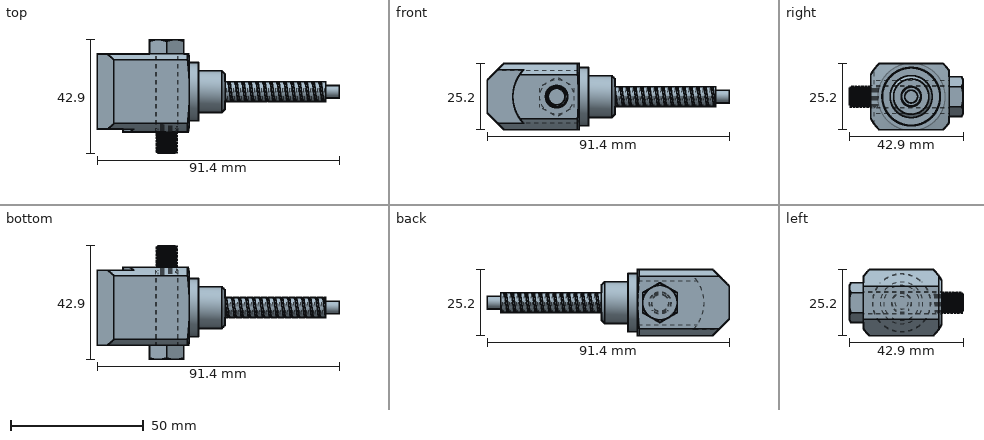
import cadquery as cq
import math


block_length = 34.8
block_height = 25.15
block_back_y = 14.29
recess_face_y = -14.13
pad_face_y = -15.28
turned_diameter = 34.75
nose_chamfer = 6.35
pad_arc_radius = 14.6
pad_arc_left_x = 9.7

cone_start_radius = 12.7
cone_angle = 9.0

flange_diameter = 22.05
flange_end_x = 38.35
flange_edge_break = 0.2
collar_diameter = 15.88
collar_end_x = 48.25
collar_chamfer = 1.27
armor_diameter = 7.58
armor_end_x = 86.25
cable_diameter = 4.83
cable_end_x = 91.36

groove_pitch = 2.644
groove_width = 0.7
groove_depth = 0.25
groove_top_x = 50.28

bolt_x = 26.2
bolt_total_length = 42.89
bolt_hole_diameter = 8.41
head_across_flats = 13.0
head_height = 5.3
head_chamfer_angle = 30.0
thread_diameter = 7.94
thread_root_diameter = 6.66
thread_pitch = 1.27
thread_crest_width = 0.35
thread_base_width = 0.9
thread_tip_diameter = 6.27
thread_tip_length = 0.25

thread_start_angle = 110.0
thread_start_from_tip = 10.6
thread_turns = 9

overlap = 0.1


def helical_strip(profile, pitch, height, radius):
    """Sweep a closed profile along a right-handed helix rising along +Z."""
    helix = cq.Wire.makeHelix(pitch, height, radius)
    return profile.sweep(cq.Workplane(obj=helix), isFrenet=True)


def block_blank():
    """Rectangular block with the two large chamfers on the nose."""
    depth = block_back_y - pad_face_y
    blank = cq.Workplane("XY").box(block_length, depth, block_height, centered=(False, False, True))
    blank = blank.translate((0, pad_face_y, 0))
    return blank.faces("<X").edges("|Y").chamfer(nose_chamfer)


def turned_envelope():
    """Solid of revolution about X that rounds the long edges and the cable end."""
    radius = turned_diameter / 2
    cone_drop = (radius - cone_start_radius) * math.tan(math.radians(cone_angle))
    profile = (
        cq.Workplane("XY")
        .lineTo(0, radius)
        .lineTo(block_length - cone_drop, radius)
        .lineTo(block_length, cone_start_radius)
        .lineTo(block_length, 0)
        .close()
    )
    return profile.revolve(360, (0, 0, 0), (1, 0, 0))


def nose_recess():
    """Cutter that lowers the front face of the nose up to the curved edge of the pad."""
    arc_center_x = pad_arc_left_x + pad_arc_radius
    depth = recess_face_y - pad_face_y
    slab = cq.Workplane("XY").box(arc_center_x, depth, block_height, centered=(False, False, True))
    pad = cq.Workplane("XZ").center(arc_center_x, 0).circle(pad_arc_radius).extrude(-depth)
    return slab.cut(pad).translate((0, pad_face_y, 0))


def step(diameter, start_x, end_x):
    """Cylinder on the cable axis."""
    return cq.Workplane("YZ").workplane(offset=start_x).circle(diameter / 2).extrude(end_x - start_x)


def armor():
    """Cable armor with its spiral groove."""
    start_x = collar_end_x - overlap
    sleeve = step(armor_diameter, start_x, armor_end_x)
    radius = armor_diameter / 2
    helix_start_x = groove_top_x - groove_pitch
    profile = cq.Workplane("XZ").center(radius, 0).rect(2 * groove_depth, groove_width)
    helix_length = armor_end_x - helix_start_x + groove_pitch
    groove = helical_strip(profile, groove_pitch, helix_length, radius)
    groove = groove.rotate((0, 0, 0), (0, 1, 0), 90).rotate((0, 0, 0), (1, 0, 0), 180)
    return sleeve.cut(groove.translate((helix_start_x, 0, 0)))


def make_sensor():
    """Block, neck and armored cable as one solid."""
    sensor = block_blank().intersect(turned_envelope()).cut(nose_recess())
    flange = step(flange_diameter, block_length - overlap, flange_end_x)
    collar = step(collar_diameter, flange_end_x - overlap, collar_end_x)
    sensor = sensor.union(flange.faces(">X").chamfer(flange_edge_break))
    sensor = sensor.union(collar.faces(">X").chamfer(collar_chamfer))
    sensor = sensor.union(armor()).union(step(cable_diameter, armor_end_x - overlap, cable_end_x))
    bolt_hole = (
        cq.Workplane("XZ", origin=(bolt_x, block_back_y, 0))
        .circle(bolt_hole_diameter / 2)
        .extrude(block_back_y - pad_face_y)
    )
    return sensor.cut(bolt_hole)


def bolt_head():
    """Hexagon head standing on Z = 0 and reaching to -Z, with a coned outer face."""
    corner_radius = head_across_flats / math.sqrt(3)
    flat_radius = head_across_flats / 2
    cone_drop = (corner_radius - flat_radius) * math.tan(math.radians(head_chamfer_angle))
    hexagon = cq.Workplane("XY").polygon(6, 2 * corner_radius).extrude(-head_height)
    cone = (
        cq.Workplane("XZ")
        .lineTo(corner_radius, 0)
        .lineTo(corner_radius, cone_drop - head_height)
        .lineTo(flat_radius, -head_height)
        .lineTo(0, -head_height)
        .close()
        .revolve(360, (0, 0, 0), (0, 1, 0))
    )
    return hexagon.rotate((0, 0, 0), (0, 0, 1), 90).intersect(cone)


def thread_groove_turn():
    """One turn of the helical cutter that leaves trapezoidal threads, starting at Z = 0."""
    root = thread_root_diameter / 2
    crest = thread_diameter / 2
    root_half_width = (thread_pitch - thread_base_width) / 2
    crest_half_width = (thread_pitch - thread_crest_width) / 2
    flank_slope = (crest_half_width - root_half_width) / (crest - root)
    outer = crest + overlap
    outer_half_width = crest_half_width + overlap * flank_slope
    profile = (
        cq.Workplane("XZ")
        .moveTo(root, -root_half_width)
        .lineTo(outer, -outer_half_width)
        .lineTo(outer, outer_half_width)
        .lineTo(root, root_half_width)
        .close()
    )
    groove = helical_strip(profile, thread_pitch, thread_pitch, root)
    return groove.rotate((0, 0, 0), (0, 0, 1), thread_start_angle)


def make_bolt():
    """Hexagon bolt built along +Z, then laid so that its tip points to -Y."""
    stem_length = bolt_total_length - head_height
    shank = cq.Workplane("XY").circle(thread_diameter / 2).extrude(stem_length - thread_tip_length)
    thread_start = stem_length - thread_start_from_tip
    groove_turn = thread_groove_turn()
    for turn in range(thread_turns):
        shank = shank.cut(groove_turn.translate((0, 0, thread_start + turn * thread_pitch)))
    core = cq.Workplane("XY").circle(thread_tip_diameter / 2).extrude(stem_length)
    bolt = shank.union(core).union(bolt_head())
    bolt = bolt.rotate((0, 0, 0), (1, 0, 0), 90)
    return bolt.translate((bolt_x, block_back_y, 0))


sensor = make_sensor()
bolt = make_bolt()

result = cq.Compound.makeCompound([sensor.val(), bolt.val()])